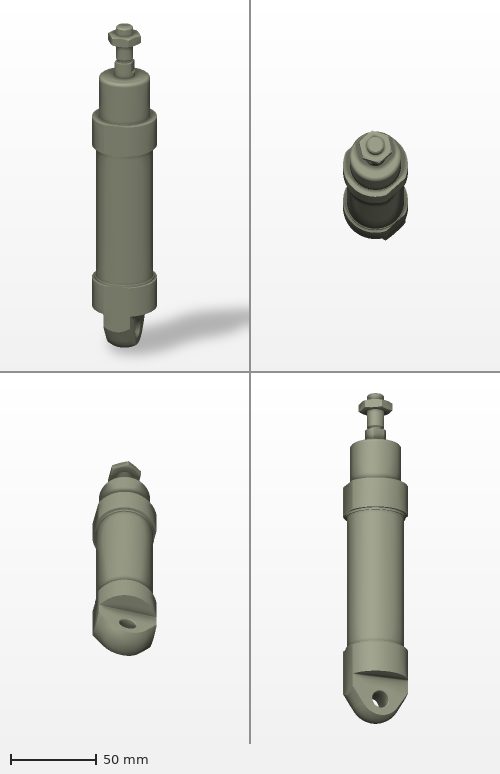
import cadquery as cq
import math


rear_cap_bottom = 25.8
cap_height = 18.0
step_height = 1.2
front_cap_bottom = 127.0
nose_height = 25.5
base_ring_height = 0.5
rear_cap_top = rear_cap_bottom + cap_height
front_cap_top = front_cap_bottom + cap_height
nose_top = front_cap_top + nose_height

cap_diameter = 38.0
cap_flats = 35.0
tube_diameter = 33.7
nose_diameter = 30.0
nose_fillet = 2.0
base_ring_diameter = 30.8

lug_thickness = 16.1
lug_tip_radius = 15.0
root_fillet = 0.6
pivot_diameter = 10.0
pivot_chamfer = 0.5
pivot_height = 12.0
taper_start_height = 15.3

total_height = 201.5
rod_diameter = 12.0
rod_top = 179.5
wrench_flats = 10.0
wrench_bottom = 173.7
wrench_ramp = 0.6
thread_diameter = 10.0
thread_bottom = 180.7
thread_chamfer = 0.8
neck_diameter = thread_diameter - 2 * thread_chamfer

nut_bottom = 191.5
nut_thickness = 5.0
nut_flats = 17.3
nut_chamfer_angle = 20.0


def cylinder(diameter, bottom, top):
    return cq.Workplane("XY").workplane(offset=bottom).circle(diameter / 2).extrude(top - bottom)


def block(size_x, size_y, bottom, top):
    return cq.Workplane("XY").workplane(offset=bottom).rect(size_x, size_y).extrude(top - bottom)


def trim_to_flats(body):
    """Cut two parallel flats facing +Y and -Y."""
    return body.intersect(block(cap_diameter, cap_flats, 0, total_height))


def make_lug():
    """Round-sided lug whose lower end is a sphere running tangentially into a cone."""
    half_flats = cap_flats / 2
    cap_radius = cap_diameter / 2

    rise = taper_start_height - lug_tip_radius
    touch_angle = math.acos(lug_tip_radius / math.hypot(half_flats, rise)) - math.atan2(rise, half_flats)
    touch_radius = lug_tip_radius * math.cos(touch_angle)
    touch_height = lug_tip_radius * (1 - math.sin(touch_angle))
    cone_top = taper_start_height + (cap_radius - half_flats) / math.tan(touch_angle)

    arc_angle = (touch_angle + math.pi / 2) / 2
    arc_middle = (
        lug_tip_radius * math.cos(arc_angle),
        lug_tip_radius * (1 - math.sin(arc_angle)),
    )
    rounded_end = (
        cq.Workplane("XZ")
        .moveTo(0, 0)
        .threePointArc(arc_middle, (touch_radius, touch_height))
        .lineTo(cap_radius, cone_top)
        .lineTo(cap_radius, rear_cap_bottom)
        .lineTo(0, rear_cap_bottom)
        .close()
        .revolve(360, (0, 0, 0), (0, 1, 0))
    )
    return rounded_end.intersect(block(lug_thickness, cap_diameter, 0, rear_cap_bottom))


def drill_pivot(body):
    """Cut the pivot hole along X and chamfer both of its rims."""
    half_thickness = lug_thickness / 2
    mouth_radius = pivot_diameter / 2 + pivot_chamfer
    drill = (
        cq.Workplane("XY")
        .polyline([
            (-half_thickness, 0),
            (-half_thickness, mouth_radius),
            (-half_thickness + pivot_chamfer, pivot_diameter / 2),
            (half_thickness - pivot_chamfer, pivot_diameter / 2),
            (half_thickness, mouth_radius),
            (half_thickness, 0),
        ])
        .close()
        .revolve(360, (0, 0, 0), (1, 0, 0))
        .translate((0, 0, pivot_height))
    )
    return body.cut(drill)


def make_rear_end():
    """Rear cap and lug, filleted along the lug root."""
    cap = cylinder(cap_diameter, rear_cap_bottom, rear_cap_top)
    root_edges = cq.selectors.BoxSelector(
        (-lug_thickness / 2 - root_fillet, -root_fillet, rear_cap_bottom - root_fillet),
        (lug_thickness / 2 + root_fillet, root_fillet, rear_cap_bottom + root_fillet),
    )
    rear_end = trim_to_flats(make_lug().union(cap)).edges(root_edges).fillet(root_fillet)
    return drill_pivot(rear_end)


def make_housing():
    front_cap = trim_to_flats(cylinder(cap_diameter, front_cap_bottom, front_cap_top))
    nose = cylinder(nose_diameter, front_cap_top, nose_top).faces(">Z").edges().fillet(nose_fillet)
    base_ring = cylinder(base_ring_diameter, front_cap_top, front_cap_top + base_ring_height)
    tube = cylinder(tube_diameter, rear_cap_top, front_cap_bottom)
    rear_step = cylinder(cap_flats, rear_cap_top, rear_cap_top + step_height)
    front_step = cylinder(cap_flats, front_cap_bottom - step_height, front_cap_bottom)
    return (
        make_rear_end()
        .union(rear_step)
        .union(tube)
        .union(front_step)
        .union(front_cap)
        .union(base_ring)
        .union(nose)
    )


def make_rod():
    shank = cylinder(rod_diameter, nose_top, rod_top)
    half_flats = wrench_flats / 2
    rod_radius = rod_diameter / 2
    for side in (-1, 1):
        flat_cut = (
            cq.Workplane("XZ")
            .polyline([
                (side * half_flats, rod_top),
                (side * half_flats, wrench_bottom),
                (side * rod_radius, wrench_bottom - wrench_ramp),
                (side * rod_radius, rod_top),
            ])
            .close()
            .extrude(rod_diameter, both=True)
        )
        shank = shank.cut(flat_cut)
    neck = cylinder(neck_diameter, rod_top, thread_bottom)
    thread = cylinder(thread_diameter, thread_bottom, total_height)
    thread = thread.faces("<Z or >Z").edges().chamfer(thread_chamfer)
    return shank.union(neck).union(thread)


def make_nut():
    """Hexagon nut with corners along X, both ends bevelled by a cone."""
    corner_diameter = nut_flats / math.cos(math.pi / 6)
    corner_overhang = (corner_diameter - nut_flats) / 2
    bevel_height = corner_overhang * math.tan(math.radians(nut_chamfer_angle))
    hexagon = (
        cq.Workplane("XY")
        .workplane(offset=nut_bottom)
        .polygon(6, corner_diameter)
        .extrude(nut_thickness)
    )
    nut_top = nut_bottom + nut_thickness
    bevelled_disc = (
        cq.Workplane("XZ")
        .polyline([
            (0, nut_bottom),
            (nut_flats / 2, nut_bottom),
            (corner_diameter / 2, nut_bottom + bevel_height),
            (corner_diameter / 2, nut_top - bevel_height),
            (nut_flats / 2, nut_top),
            (0, nut_top),
        ])
        .close()
        .revolve(360, (0, 0, 0), (0, 1, 0))
    )
    bore = cylinder(thread_diameter, nut_bottom, nut_top)
    return hexagon.intersect(bevelled_disc).cut(bore)


housing = make_housing()
rod = make_rod()
nut = make_nut()

result = cq.Compound.makeCompound([housing.val(), rod.val(), nut.val()])